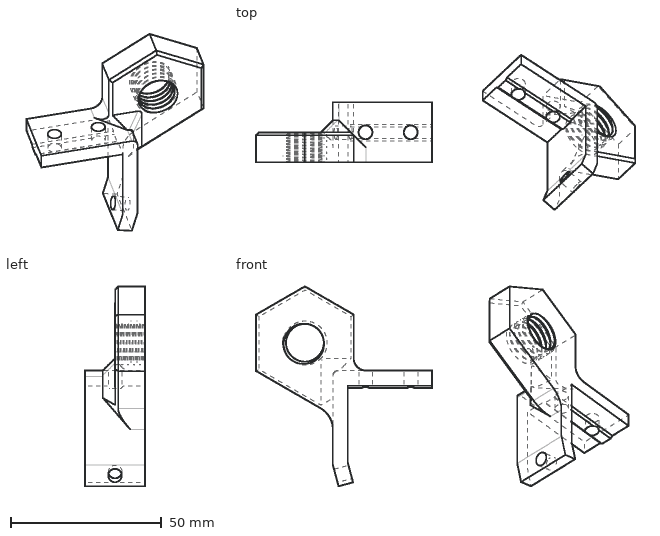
import cadquery as cq
import math


total_length = 58.45
total_height = 66.4
bracket_width = 20.0

head_width = 32.5
head_apothem = head_width / 2
head_thickness = bracket_width / 2
head_corner_radius = head_apothem / math.cos(math.radians(30))
slope = math.tan(math.radians(30))
back_chamfer = 1.0

thread_minor_radius = 6.25
thread_depth = 1.05
thread_pitch = 2.0
thread_crest = 0.25
thread_start_angle = 225

wall = 5.05
corner_x = 9.25
corner_z = -9.2
inner_x = corner_x + wall
inner_z = corner_z - wall
arm_end_x = total_length - head_apothem
rib_height = 0.8
rib_crest_width = 3.85
bracket_corner_radius = 2.0

tip_angle = math.radians(15)
leg_bottom_z = head_corner_radius - total_height
tip_length = 7.45
bend_z = leg_bottom_z + tip_length * math.cos(tip_angle)

arm_fillet = 4.0
leg_fillet = 8.0

gusset_size = 4.0

hole_radius = 2.25
arm_hole_xs = (20.1, 35.15)
hole_y = bracket_width / 2

reach = 66.4


def prism(points, depth):
    """Extrude an XZ outline from the front face toward +Y."""
    return cq.Workplane("XZ").polyline(points).close().extrude(-depth)


def head_outline(inset):
    """Head outline with every side moved inward; it closes below and right of the leg corner."""
    apothem = head_apothem - inset
    corner = apothem / math.cos(math.radians(30))
    return [
        (-apothem, corner / 2),
        (0, corner),
        (apothem, corner / 2),
        (apothem, -corner - apothem * slope),
        (-apothem, -corner / 2),
    ]


def make_bracket():
    """Arm and leg, with a 45 degree sided rib along the middle of the arm's underside."""
    across = math.cos(tip_angle)
    along = math.sin(tip_angle)
    tip_left = (corner_x + tip_length * along, leg_bottom_z)
    tip_right = (tip_left[0] + wall * across, tip_left[1] + wall * along)
    inner_bend_z = bend_z + wall * math.tan(tip_angle / 2)
    outline = [
        (corner_x, corner_z),
        (arm_end_x, corner_z),
        (arm_end_x, inner_z),
        (inner_x, inner_z),
        (inner_x, inner_bend_z),
        tip_right,
        tip_left,
        (corner_x, bend_z),
    ]
    body = prism(outline, bracket_width)
    outer_corner = cq.selectors.NearestToPointSelector((corner_x, bracket_width / 2, corner_z))
    body = body.edges(outer_corner).fillet(bracket_corner_radius)
    crest_half = rib_crest_width / 2
    base_half = crest_half + rib_height
    rib_outline = [
        (hole_y - base_half, inner_z),
        (hole_y - crest_half, inner_z - rib_height),
        (hole_y + crest_half, inner_z - rib_height),
        (hole_y + base_half, inner_z),
    ]
    rib = (
        cq.Workplane("YZ", origin=(inner_x, 0, 0))
        .polyline(rib_outline)
        .close()
        .extrude(arm_end_x - inner_x)
    )
    return body.union(rib)


def make_head_limit():
    """Head outline tapering inward at 45 degrees over the full depth of the part."""
    straight = head_thickness - back_chamfer
    inset = bracket_width - straight
    front = head_outline(-straight)
    back = head_outline(inset)
    return (
        cq.Workplane("XZ")
        .polyline(front)
        .close()
        .workplane(offset=-bracket_width)
        .polyline(back)
        .close()
        .loft(ruled=True)
    )


def make_head_profile():
    """Full-depth head outline blended into the arm and the leg."""
    head = prism(head_outline(0), bracket_width)
    lower_right = prism(
        [(inner_x, inner_z), (reach, inner_z), (reach, -reach), (inner_x, -reach)], bracket_width
    )
    head = head.cut(lower_right)

    arm_blend = (
        cq.Workplane("XZ")
        .moveTo(head_apothem, corner_z + arm_fillet)
        .radiusArc((head_apothem + arm_fillet, corner_z), -arm_fillet)
        .lineTo(head_apothem + arm_fillet, corner_z - wall / 2)
        .lineTo(head_apothem - wall / 2, corner_z - wall / 2)
        .lineTo(head_apothem - wall / 2, corner_z + arm_fillet)
        .close()
        .extrude(-bracket_width)
    )

    meet_z = -head_corner_radius - corner_x * slope
    tangent = leg_fillet * slope
    side_point = (
        corner_x - tangent * math.cos(math.radians(30)),
        meet_z + tangent * math.sin(math.radians(30)),
    )
    leg_point = (corner_x, meet_z - tangent)
    leg_blend = (
        cq.Workplane("XZ")
        .moveTo(*side_point)
        .radiusArc(leg_point, leg_fillet)
        .lineTo(corner_x + wall / 2, leg_point[1])
        .lineTo(corner_x + wall / 2, side_point[1])
        .close()
        .extrude(-bracket_width)
    )
    return head.union(arm_blend).union(leg_blend)


def make_gusset_limit():
    """Plate depth plus a 45 degree gusset following the bracket's outer corner."""
    plate = cq.Workplane("XY").box(2 * reach, head_thickness, 2 * reach, centered=(True, False, True))

    def corner_outline(plane, offset):
        left = corner_x - offset
        top = corner_z + offset
        return plane.polyline([(left, -reach), (left, top), (reach, top), (reach, -reach)]).close()

    base = corner_outline(cq.Workplane("XZ", origin=(0, head_thickness, 0)), gusset_size)
    gusset = corner_outline(base.workplane(offset=-gusset_size), 0).loft(ruled=True)
    half = gusset_size / 2
    sloping_edge = cq.selectors.NearestToPointSelector(
        (corner_x - half, head_thickness + half, corner_z + half)
    )
    gusset = gusset.edges(sloping_edge).fillet(bracket_corner_radius)
    return plate.union(gusset)


def make_thread_groove():
    """Helical V groove for the threaded hole, running past both faces of the head."""
    turns_before = 2
    bore_overlap = 0.05
    start_y = -turns_before * thread_pitch
    length = head_thickness + 2 * turns_before * thread_pitch
    half_width = (thread_pitch - thread_crest) / 2
    mouth_half_width = half_width * (1 + bore_overlap / thread_depth)
    inner_radius = thread_minor_radius - bore_overlap
    helix = cq.Wire.makeHelix(thread_pitch, length, thread_minor_radius)
    groove = (
        cq.Workplane("XZ")
        .polyline(
            [
                (inner_radius, -mouth_half_width),
                (thread_minor_radius + thread_depth, 0),
                (inner_radius, mouth_half_width),
            ]
        )
        .close()
        .sweep(cq.Workplane(obj=helix), isFrenet=True)
    )
    return (
        groove.rotate((0, 0, 0), (1, 0, 0), -90)
        .rotate((0, 0, 0), (0, 1, 0), -thread_start_angle)
        .translate((0, start_y, 0))
    )


def make_tip_hole():
    """Hole square to the angled tip, halfway along it."""
    middle = tip_length / 2
    center = cq.Vector(
        corner_x + middle * math.sin(tip_angle), hole_y, bend_z - middle * math.cos(tip_angle)
    )
    direction = cq.Vector(math.cos(tip_angle), 0, math.sin(tip_angle))
    return cq.Solid.makeCylinder(hole_radius, 4 * wall, center - direction * (2 * wall), direction)


head = make_head_profile().intersect(make_head_limit()).intersect(make_gusset_limit())
result = make_bracket().union(head)

arm_holes = (
    cq.Workplane("XY", origin=(0, 0, corner_z + wall))
    .pushPoints([(x, hole_y) for x in arm_hole_xs])
    .circle(hole_radius)
    .extrude(-3 * wall)
)
bore = cq.Workplane("XZ").circle(thread_minor_radius).extrude(-head_thickness)
result = result.cut(arm_holes).cut(make_tip_hole()).cut(make_thread_groove()).cut(bore)